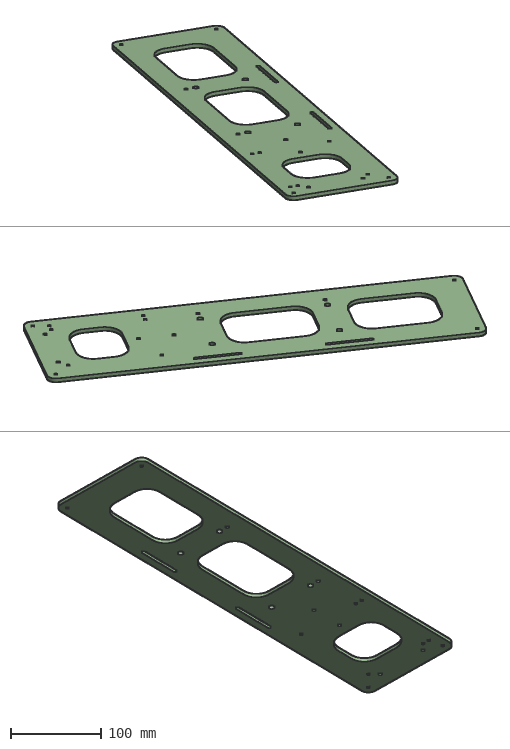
import cadquery as cq

length = 500.0
width = 135.0
thickness = 5.0
corner_radius = 10.0

window_height = 70.0
window_radius = 20.0
window_y = -2.5
windows = [(-160.0, 100.0), (-17.5, 105.0), (177.0, 60.0)]

slot_columns = [-95.0, 55.0]
slot_length = 54.5
slot_width = 4.0
slot_y = 56.0

mount_columns = [-90.0, 55.0]
mount_diameter = 6.5
mount_spacing = 60.0
mount_drop = 12.0

medium_diameter = 4.0
small_diameter = 3.35
corner_inset = 10.0
board_columns = [115.0, 222.0]
board_rows = [40.0, -44.5, -53.5]
edge_pair_x = 231.0
edge_pair_spacing = 66.0
inner_pair = [91.5, 132.0]


def make_plate():
    plate = cq.Workplane("XY").box(length, width, thickness)
    return plate.edges("|Z").fillet(corner_radius)


def cut_windows(plate):
    for x, window_length in windows:
        window = (
            cq.Workplane("XY")
            .box(window_length, window_height, thickness)
            .edges("|Z")
            .fillet(window_radius)
            .translate((x, window_y, 0))
        )
        plate = plate.cut(window)
    return plate


def cut_slots(plate):
    centres = [(x, slot_y) for x in slot_columns]
    slots = plate.faces(">Z").workplane(origin=(0, 0, 0)).pushPoints(centres)
    return slots.slot2D(slot_length, slot_width).cutThruAll()


def drill(plate, points, diameter):
    return plate.faces(">Z").workplane(origin=(0, 0, 0)).pushPoints(points).hole(diameter)


upper_mount_y = window_y + mount_spacing / 2
lower_mount_y = window_y - mount_spacing / 2
mount_points = [(x, y) for x in mount_columns for y in (upper_mount_y, lower_mount_y)]

corner_x = length / 2 - corner_inset
corner_y = width / 2 - corner_inset
corner_points = [(x, y) for x in (-corner_x, corner_x) for y in (-corner_y, corner_y)]

medium_points = [(x, lower_mount_y - mount_drop) for x in mount_columns]
medium_points += [(edge_pair_x, window_y + side * edge_pair_spacing / 2) for side in (-1, 1)]
medium_points += [(x, window_y) for x in inner_pair]
small_points = [(x, y) for x in board_columns for y in board_rows]

result = cut_slots(cut_windows(make_plate()))
result = drill(result, mount_points, mount_diameter)
result = drill(result, corner_points, small_diameter)
result = drill(result, small_points, small_diameter)
result = drill(result, medium_points, medium_diameter)